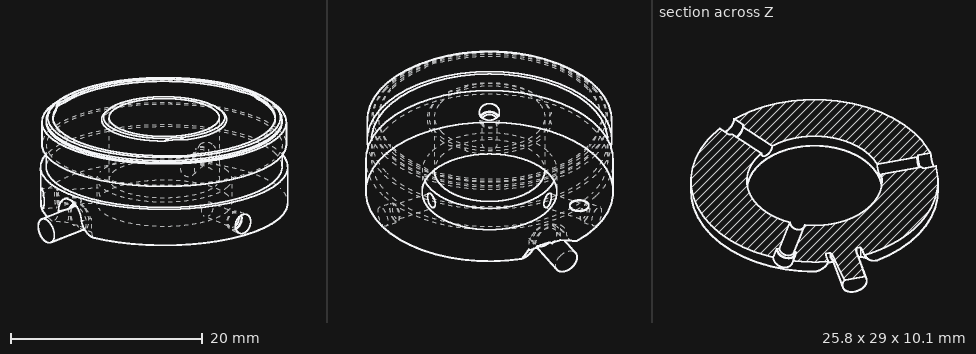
import cadquery as cq
import math

base_radius = 25.8 / 2
neck_radius = 24.6 / 2
flange_radius = 25.5 / 2
bore_radius = 11.5 / 2
lower_bore_radius = 14.05 / 2
lower_bore_height = 2.7
base_top = 4.0
neck_top = 6.5
flange_top = 9.0
body_top = 9.48
top_bevel_width = 0.17
top_bevel_height = 0.3

recess_depth = 0.23
rim_inner_radius = 11.6
hub_top_radius = 6.32
hub_foot_radius = 6.52
lobe_inner_reach = 6.23
lobe_outer_reach = 11.8
lobe_angles = (90, 210, 330)

screw_height = 1.3
screw_mouth_radius = 2.1 / 2
screw_cone_radius = 1.9 / 2
screw_radius = 1.57 / 2
screw_mouth_depth = 1.45
screw_cone_depth = 0.17
screw_angles = (0, 120, 240)

pad_radius = 2.0 / 2
pad_height = 0.1
pad_orbit = 9.68
pad_angle = 225

cable_radius = 2.65 / 2
cable_slope = 5.0
cable_root_y = -11.45
cable_tip_y = -15.97
cable_tip_z = 0.65
collar_radius = 1.5
collar_length = 0.23

arch_half_width = 1.87
arch_mouth_top = 3.57
arch_root_top = 2.6
flare_half_width = 3.33
flare_root_half_width = 1.9
flare_height = 1.5
notch_mouth_y = -(base_radius + 0.3)

overlap = 0.15


def revolve_profile(points):
    """Revolve (radius, z) points about the Z axis."""
    return cq.Workplane("XZ").polyline(points).close().revolve(360, (0, 0, 0), (0, 1, 0))


def ring_body():
    return revolve_profile([
        (lower_bore_radius, 0),
        (base_radius, 0),
        (base_radius, base_top),
        (neck_radius, base_top),
        (neck_radius, neck_top),
        (flange_radius, neck_top),
        (flange_radius, flange_top),
        (neck_radius, flange_top),
        (neck_radius, body_top - top_bevel_height),
        (neck_radius - top_bevel_width, body_top),
        (bore_radius, body_top),
        (bore_radius, lower_bore_height),
        (lower_bore_radius, lower_bore_height),
    ])


def top_recess():
    """Annular recess with three round lobes that bite into the rim and the hub."""
    floor = body_top - recess_depth
    recess = revolve_profile([
        (hub_foot_radius, floor),
        (rim_inner_radius, floor),
        (rim_inner_radius, body_top),
        (hub_top_radius, body_top),
    ])
    lobe_radius = (lobe_outer_reach - lobe_inner_reach) / 2
    lobe_orbit = (lobe_outer_reach + lobe_inner_reach) / 2
    for angle in lobe_angles:
        lobe = cq.Workplane("XY", origin=(lobe_orbit, 0, floor)).circle(lobe_radius).extrude(recess_depth)
        recess = recess.union(lobe.rotate((0, 0, 0), (0, 0, 1), angle))
    return recess


def screw_hole(angle):
    """Radial hole that narrows through a short cone and opens into the lower bore."""
    cone_start = base_radius - screw_mouth_depth
    cone_end = cone_start - screw_cone_depth
    hole = (
        cq.Workplane("XY")
        .moveTo(base_radius + overlap, 0)
        .lineTo(base_radius + overlap, screw_mouth_radius)
        .lineTo(cone_start, screw_mouth_radius)
        .lineTo(cone_start, screw_cone_radius)
        .lineTo(cone_end, screw_radius)
        .lineTo(lower_bore_radius - overlap, screw_radius)
        .lineTo(lower_bore_radius - overlap, 0)
        .close()
        .revolve(360, (0, 0, 0), (1, 0, 0))
    )
    return hole.translate((0, 0, screw_height)).rotate((0, 0, 0), (0, 0, 1), angle)


def arch_section(y, top):
    """Arch outline standing at the given y, with a half-round top."""
    spring = top - arch_half_width
    return (
        cq.Workplane("XZ", origin=(0, y, 0))
        .moveTo(-arch_half_width, -overlap)
        .lineTo(-arch_half_width, spring)
        .threePointArc((0, top), (arch_half_width, spring))
        .lineTo(arch_half_width, -overlap)
        .close()
        .val()
    )


def feet_section(y, half_width):
    """Flared outline standing at the given y, with concave round flanks."""
    flare_width = half_width - arch_half_width
    bend = math.sqrt(0.5)
    bend_x = half_width - flare_width * bend
    bend_z = flare_height * (1 - bend)
    return (
        cq.Workplane("XZ", origin=(0, y, 0))
        .moveTo(-half_width, 0)
        .threePointArc((-bend_x, bend_z), (-arch_half_width, flare_height))
        .lineTo(arch_half_width, flare_height)
        .threePointArc((bend_x, bend_z), (half_width, 0))
        .close()
        .val()
    )


def cable_notch():
    """Arch whose ceiling rises outward, plus feet that widen outward and downward."""
    arch = cq.Solid.makeLoft([
        arch_section(cable_root_y, arch_root_top),
        arch_section(notch_mouth_y, arch_mouth_top),
    ], True)

    foot_y = -math.sqrt(base_radius ** 2 - flare_half_width ** 2)
    spread = (flare_half_width - flare_root_half_width) / (cable_root_y - foot_y)
    mouth_half_width = flare_root_half_width + spread * (cable_root_y - notch_mouth_y)
    feet = cq.Solid.makeLoft([
        feet_section(cable_root_y, flare_root_half_width),
        feet_section(notch_mouth_y, mouth_half_width),
    ], True)
    return cq.Workplane(obj=arch).union(cq.Workplane(obj=feet))


def cable():
    """Round cable with a short conical collar where it leaves the notch wall."""
    slope = math.radians(cable_slope)
    length = (cable_root_y - cable_tip_y) / math.cos(slope) + overlap
    tip = cq.Vector(0, cable_tip_y, cable_tip_z)
    inward = cq.Vector(0, math.cos(slope), math.sin(slope))
    rod = cq.Solid.makeCylinder(cable_radius, length, tip, inward)
    collar_start = tip + inward * (length - overlap - collar_length)
    collar = cq.Solid.makeCone(
        cable_radius, collar_radius, collar_length + overlap, collar_start, inward
    )
    above_underside = cq.Workplane("XY").rect(2 * base_radius, 2 * base_radius).extrude(base_top)
    return cq.Workplane(obj=rod).union(above_underside.intersect(cq.Workplane(obj=collar)))


def underside_pad():
    x = pad_orbit * math.cos(math.radians(pad_angle))
    y = pad_orbit * math.sin(math.radians(pad_angle))
    return (
        cq.Workplane("XY", origin=(x, y, -pad_height))
        .circle(pad_radius)
        .extrude(pad_height + overlap)
    )


result = ring_body().cut(top_recess()).cut(cable_notch())
for hole_angle in screw_angles:
    result = result.cut(screw_hole(hole_angle))
result = result.union(underside_pad()).union(cable())